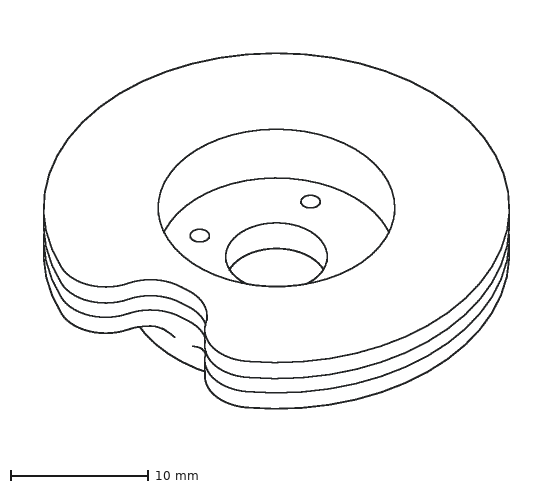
import cadquery as cq
import math


hub_rim_height = 1.75
hub_fillet = 0.98
ring_thickness = 1.55
ring_gap = 1.4
lower_ring_bottom = hub_rim_height + hub_fillet
lower_ring_top = lower_ring_bottom + ring_thickness
upper_ring_bottom = lower_ring_top + ring_gap
total_height = upper_ring_bottom + ring_thickness

disc_radius = 16.95
hub_radius = 22.2 / 2
neck_radius = 11.05
cup_radius = 17.2 / 2
bore_radius = 7.4 / 2
cup_depth = 4.75
cup_floor = total_height - cup_depth

hole_diameter = 1.4
hole_offset_x = 6.03
hole_offset_y = 6.5
extra_hole_angle = 20.0

notch_angle = 15.0
notch_half_span = 30.0
notch_radius = 3.5
cutter_radius = 1.2 * disc_radius


def polar(radius, angle):
    """Point at an angle in degrees, measured from -Y toward -X."""
    turn = math.radians(angle)
    return (-radius * math.sin(turn), -radius * math.cos(turn))


def toward(start, end, distance):
    """Point at a distance from start on the line to end."""
    ratio = distance / math.dist(start, end)
    return (start[0] + ratio * (end[0] - start[0]), start[1] + ratio * (end[1] - start[1]))


def make_body():
    """Revolved section with the round groove and the hub fillet."""
    gap_middle = (lower_ring_top + upper_ring_bottom) / 2
    groove_bottom = (neck_radius - ring_gap / 2, gap_middle)
    fillet_reach = hub_fillet * (1 - math.sqrt(0.5))
    fillet_middle = (hub_radius + fillet_reach, lower_ring_bottom - fillet_reach)
    section = (
        cq.Workplane("XZ")
        .moveTo(bore_radius, 0)
        .lineTo(hub_radius, 0)
        .lineTo(hub_radius, hub_rim_height)
        .threePointArc(fillet_middle, (hub_radius + hub_fillet, lower_ring_bottom))
        .lineTo(disc_radius, lower_ring_bottom)
        .lineTo(disc_radius, lower_ring_top)
        .lineTo(neck_radius, lower_ring_top)
        .threePointArc(groove_bottom, (neck_radius, upper_ring_bottom))
        .lineTo(disc_radius, upper_ring_bottom)
        .lineTo(disc_radius, total_height)
        .lineTo(cup_radius, total_height)
        .lineTo(cup_radius, cup_floor)
        .lineTo(bore_radius, cup_floor)
        .close()
    )
    return section.revolve(360, (0, 0, 0), (0, 1, 0))


def make_notch(bottom, top):
    """Notch between two heights, with an S-curve on each side and its root on the hub radius."""
    corner_distance = disc_radius - notch_radius
    root_distance = hub_radius + notch_radius
    between_centres = math.degrees(math.acos(
        (corner_distance**2 + root_distance**2 - (2 * notch_radius) ** 2)
        / (2 * corner_distance * root_distance)
    ))
    root_half_span = notch_half_span - between_centres

    def side_points(side):
        """Rim, corner, joint, root bend and root points, from the rim inward."""
        corner_angle = notch_angle + side * notch_half_span
        root_angle = notch_angle + side * root_half_span
        corner_centre = polar(corner_distance, corner_angle)
        root_centre = polar(root_distance, root_angle)
        rim = polar(disc_radius, corner_angle)
        joint = toward(corner_centre, root_centre, notch_radius)
        root = polar(hub_radius, root_angle)
        chord_middles = [toward(a, b, math.dist(a, b) / 2) for a, b in ((rim, joint), (joint, root))]
        corner_bend = toward(corner_centre, chord_middles[0], notch_radius)
        root_bend = toward(root_centre, chord_middles[1], notch_radius)
        return rim, corner_bend, joint, root_bend, root

    left_rim, left_corner, left_joint, left_bend, left_root = side_points(1)
    right_rim, right_corner, right_joint, right_bend, right_root = side_points(-1)
    return (
        cq.Workplane("XY")
        .workplane(offset=bottom)
        .moveTo(*left_rim)
        .threePointArc(left_corner, left_joint)
        .threePointArc(left_bend, left_root)
        .threePointArc(polar(hub_radius, notch_angle), right_root)
        .threePointArc(right_bend, right_joint)
        .threePointArc(right_corner, right_rim)
        .lineTo(*polar(cutter_radius, notch_angle - notch_half_span))
        .threePointArc(
            polar(cutter_radius, notch_angle),
            polar(cutter_radius, notch_angle + notch_half_span),
        )
        .close()
        .extrude(top - bottom)
    )


def make_holes():
    """Four bolt holes and one extra hole through the cup floor."""
    centres = [
        (hole_offset_x, 0),
        (-hole_offset_x, 0),
        (0, hole_offset_y),
        (0, -hole_offset_y),
        polar(hole_offset_y, extra_hole_angle),
    ]
    return cq.Workplane("XY").pushPoints(centres).circle(hole_diameter / 2).extrude(total_height)


lower_notch = make_notch(hub_rim_height, lower_ring_top)
upper_notch = make_notch(upper_ring_bottom, total_height)
result = make_body().cut(lower_notch).cut(upper_notch).cut(make_holes())